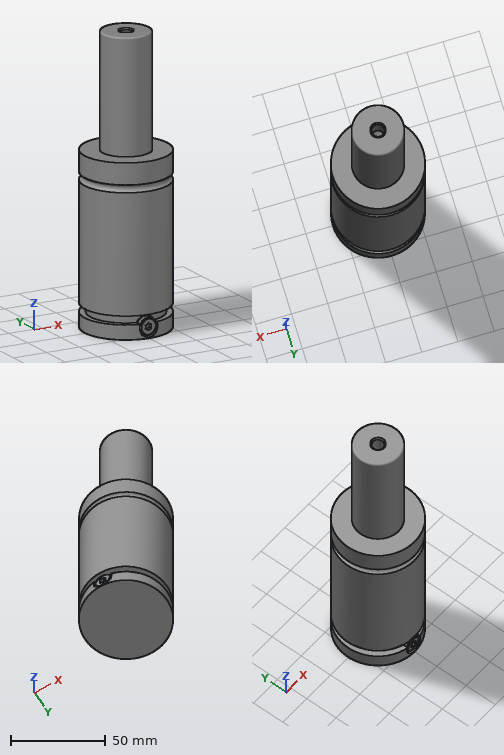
import cadquery as cq
import math

total_height = 164.0
body_radius = 50.0 / 2
shoulder_height = 98.0

base_flange_height = 8.4
retaining_groove_top = 13.3
retaining_groove_radius = 43.0 / 2

round_groove_height = 83.6
round_groove_radius = 2.1

rod_radius = 28.0 / 2
rod_edge_radius = 1.0
rod_hole_diameter = 6.7
rod_hole_depth = 13.1
rod_hole_mouth_diameter = 8.4
drill_point_angle = 118

plug_height = 6.2
plug_diameter = 10.0
plug_chamfer = 0.7
plug_face_distance = 24.3
seat_diameter = 11.0
seat_floor_distance = 20.5
hex_across_corners = 4.0
hex_socket_depth = 2.5


def make_body():
    """Revolve the body with both grooves and the rod as one profile."""
    profile = (
        cq.Workplane("XZ")
        .lineTo(body_radius, 0)
        .lineTo(body_radius, base_flange_height)
        .lineTo(retaining_groove_radius, base_flange_height)
        .lineTo(retaining_groove_radius, retaining_groove_top)
        .lineTo(body_radius, retaining_groove_top)
        .lineTo(body_radius, round_groove_height - round_groove_radius)
        .threePointArc(
            (body_radius - round_groove_radius, round_groove_height),
            (body_radius, round_groove_height + round_groove_radius),
        )
        .lineTo(body_radius, shoulder_height)
        .lineTo(rod_radius, shoulder_height)
        .lineTo(rod_radius, total_height - rod_edge_radius)
        .radiusArc((rod_radius - rod_edge_radius, total_height), -rod_edge_radius)
        .lineTo(0, total_height)
        .close()
    )
    return profile.revolve(360, (0, 0, 0), (0, 1, 0))


def cut_rod_hole(part):
    """Drill the blind hole with a conical bottom and a countersunk mouth."""
    countersink_angle = 90
    hole_radius = rod_hole_diameter / 2
    mouth_radius = rod_hole_mouth_diameter / 2
    mouth_depth = (mouth_radius - hole_radius) / math.tan(math.radians(countersink_angle / 2))
    point_depth = hole_radius / math.tan(math.radians(drill_point_angle / 2))
    hole = (
        cq.Workplane("XZ")
        .moveTo(0, total_height)
        .lineTo(mouth_radius, total_height)
        .lineTo(hole_radius, total_height - mouth_depth)
        .lineTo(hole_radius, total_height - rod_hole_depth)
        .lineTo(0, total_height - rod_hole_depth - point_depth)
        .close()
        .revolve(360, (0, 0, 0), (0, 1, 0))
    )
    return part.cut(hole)


def plug_plane(distance):
    """Return a workplane facing -Y on the plug axis, at a distance from the body axis."""
    return cq.Workplane("XZ", origin=(0, -distance, plug_height))


def add_plug(part):
    """Bore the seat and stand the chamfered plug with its hexagon socket on the seat floor."""
    seat = (
        plug_plane(seat_floor_distance)
        .circle(seat_diameter / 2)
        .extrude(body_radius - seat_floor_distance)
    )
    plug = (
        plug_plane(seat_floor_distance)
        .circle(plug_diameter / 2)
        .extrude(plug_face_distance - seat_floor_distance)
        .faces("<Y")
        .chamfer(plug_chamfer)
    )
    socket = (
        plug_plane(plug_face_distance - hex_socket_depth)
        .transformed(rotate=(0, 0, 90))
        .polygon(6, hex_across_corners)
        .extrude(hex_socket_depth)
    )
    return part.cut(seat).union(plug).cut(socket)


result = add_plug(cut_rod_hole(make_body()))